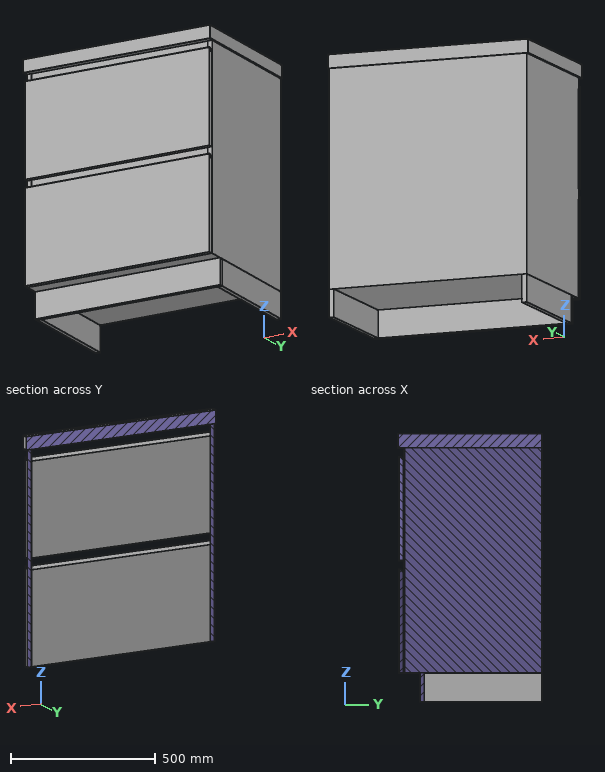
import cadquery as cq

TOTAL_HEIGHT = 930.0
WORKTOP_WIDTH = 750.0
WORKTOP_DEPTH = 500.0
WORKTOP_THICKNESS = 50.0
WORKTOP_CHAMFER = 1.0

CARCASS_WIDTH = 740.0
CARCASS_DEPTH = 480.0
PANEL_THICKNESS = 18.0
RAIL_SETBACK = 2.0

FRONT_COUNT = 2
FRONT_WIDTH = 737.0
FRONT_THICKNESS = 17.0
FINGER_GAP = 30.0
FRONT_BEVEL = 11.0

PLINTH_HEIGHT = 99.5
PLINTH_DEPTH = 424.0
PLINTH_BOARD = 16.0

carcass_top = TOTAL_HEIGHT - WORKTOP_THICKNESS
carcass_height = carcass_top - PLINTH_HEIGHT
front_pitch = carcass_height / FRONT_COUNT
front_height = front_pitch - FINGER_GAP


def block(width, depth, height, back, bottom, center_x=0):
    """Box centred on center_x that runs forward (-Y) from its back face."""
    return (
        cq.Workplane("XY")
        .box(width, depth, height, centered=(True, False, False))
        .translate((center_x, back - depth, bottom))
    )


def make_worktop():
    """Worktop slab with every edge lightly broken."""
    slab = block(WORKTOP_WIDTH, WORKTOP_DEPTH, WORKTOP_THICKNESS, 0, carcass_top)
    return slab.edges().chamfer(WORKTOP_CHAMFER)


def make_carcass():
    """Cabinet block whose front is set back between the side panels."""
    body = block(CARCASS_WIDTH, CARCASS_DEPTH, carcass_height, 0, PLINTH_HEIGHT)
    inner_width = CARCASS_WIDTH - 2 * PANEL_THICKNESS
    recess = block(inner_width, RAIL_SETBACK, carcass_height, RAIL_SETBACK - CARCASS_DEPTH, PLINTH_HEIGHT)
    return body.cut(recess)


def make_drawer_front(index):
    """Drawer front with its rear top edge bevelled as a finger grip."""
    bottom = PLINTH_HEIGHT + index * front_pitch
    return (
        block(FRONT_WIDTH, FRONT_THICKNESS, front_height, -CARCASS_DEPTH, bottom)
        .edges(">Y and >Z")
        .chamfer(FRONT_BEVEL)
    )


def make_plinth_board():
    """Full-width board closing the front of the plinth."""
    return block(CARCASS_WIDTH, PLINTH_BOARD, PLINTH_HEIGHT, PLINTH_BOARD - PLINTH_DEPTH, 0)


def make_plinth_side(direction):
    """Plinth side board, flush with the side of the carcass and butting against the front board."""
    center_x = direction * (CARCASS_WIDTH - PANEL_THICKNESS) / 2
    return block(PANEL_THICKNESS, PLINTH_DEPTH - PLINTH_BOARD, PLINTH_HEIGHT, 0, 0, center_x)


worktop = make_worktop()
carcass = make_carcass()
drawer_fronts = [make_drawer_front(index) for index in range(FRONT_COUNT)]
plinth_board = make_plinth_board()
plinth_sides = [make_plinth_side(direction) for direction in (-1, 1)]

result = cq.Compound.makeCompound([
    worktop.val(),
    carcass.val(),
    *[front.val() for front in drawer_fronts],
    plinth_board.val(),
    *[side.val() for side in plinth_sides],
])